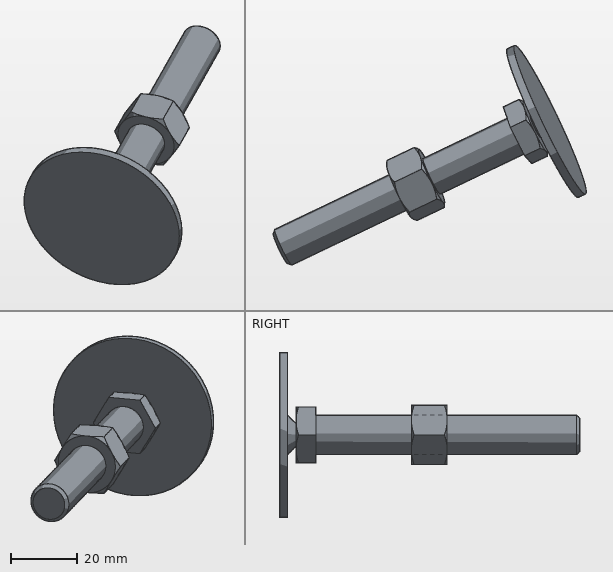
import cadquery as cq
import math

total_length = 91.0

plate_diameter = 50.0
plate_thickness = 2.5
neck_height = 2.55
neck_tip_radius = 3.5

head_across_flats = 17.0
head_height = 6.0
rod_diameter = 12.0
rod_chamfer = 1.0

nut_across_flats = 18.0
nut_height = 10.8
nut_start = 39.95
corner_chamfer_angle = 30.0

neck_base_radius = neck_tip_radius + neck_height
head_start = plate_thickness + neck_height
rod_start = head_start + head_height
rod_length = total_length - rod_start


def plane_at(y):
    """Plane whose normal points along +Y and whose local x is global X."""
    return cq.Plane(origin=(0, y, 0), xDir=(1, 0, 0), normal=(0, 1, 0))


def rounded_hexagon(across_flats, start, height, chamfer_far_end):
    """Hexagonal prism with corners on X, its corners turned down by a cone."""
    flat_radius = across_flats / 2
    corner_radius = flat_radius / math.cos(math.radians(30))
    drop = (corner_radius - flat_radius) * math.tan(math.radians(corner_chamfer_angle))
    end = start + height
    prism = cq.Workplane(plane_at(start)).polygon(6, 2 * corner_radius).extrude(height)

    profile = cq.Workplane("XY").moveTo(0, start).lineTo(flat_radius, start)
    profile = profile.lineTo(corner_radius, start + drop)
    if chamfer_far_end:
        profile = profile.lineTo(corner_radius, end - drop).lineTo(flat_radius, end)
    else:
        profile = profile.lineTo(corner_radius, end)
    envelope = profile.lineTo(0, end).close().revolve(360, (0, 0, 0), (0, 1, 0))
    return prism.intersect(envelope)


def make_base():
    """Round plate with a conical neck that carries the spindle head."""
    plate = cq.Workplane(plane_at(0)).circle(plate_diameter / 2).extrude(plate_thickness)
    neck = (
        cq.Workplane("XY")
        .moveTo(0, plate_thickness)
        .lineTo(neck_base_radius, plate_thickness)
        .lineTo(neck_tip_radius, head_start)
        .lineTo(0, head_start)
        .close()
        .revolve(360, (0, 0, 0), (0, 1, 0))
    )
    return plate.union(neck)


def make_spindle():
    """Rod with a chamfered free end and a hexagonal head."""
    head = rounded_hexagon(head_across_flats, head_start, head_height, chamfer_far_end=False)
    rod = cq.Workplane(plane_at(rod_start)).circle(rod_diameter / 2).extrude(rod_length)
    rod = rod.faces(">Y").chamfer(rod_chamfer)
    return head.union(rod)


def make_nut():
    """Lock nut, chamfered at both ends, with a bore that fits the rod."""
    body = rounded_hexagon(nut_across_flats, nut_start, nut_height, chamfer_far_end=True)
    bore = cq.Workplane(plane_at(nut_start)).circle(rod_diameter / 2).extrude(nut_height)
    return body.cut(bore)


base = make_base()
spindle = make_spindle()
nut = make_nut()

result = cq.Compound.makeCompound([base.val(), spindle.val(), nut.val()])